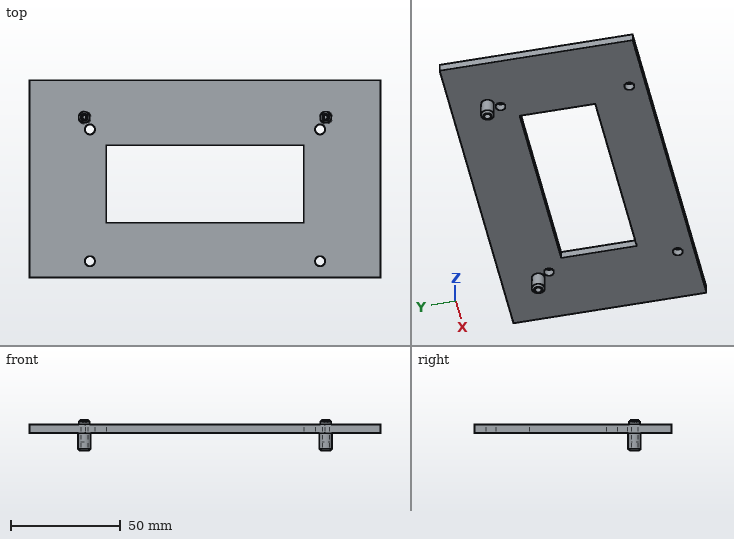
import cadquery as cq

PLATE_LENGTH = 160.0
PLATE_WIDTH = 90.0
PLATE_THICKNESS = 4.0

WINDOW_CENTRE_Y = -2.4
HOLE_PATTERN_CENTRE_Y = -7.5
WINDOW_LENGTH = 90.0
WINDOW_WIDTH = 35.2
HOLE_SPACING_X = 104.8
HOLE_SPACING_Y = 60.0
HOLE_DIAMETER = 4.5

SCREW_SPACING_X = 110.0
SCREW_Y = 28.0
SCREW_POINTS = [(side * SCREW_SPACING_X / 2, SCREW_Y) for side in (-1, 1)]

HEAD_DIAMETER = 5.1
HEAD_HEIGHT = 2.0
HEAD_CHAMFER = 1.0
SHANK_DIAMETER = 3.0
SHANK_LENGTH = 8.0
SOCKET_CORNER_DIAMETER = 2.0
SOCKET_DEPTH = 1.1

STANDOFF_DIAMETER = 6.0
STANDOFF_HEIGHT = 8.0
STANDOFF_CHAMFER = 1.0


def make_plate():
    """Rectangular plate with a window, four round holes and two screw holes."""
    plate = cq.Workplane("XY").box(
        PLATE_LENGTH, PLATE_WIDTH, PLATE_THICKNESS, centered=(True, True, False)
    )
    window = (
        cq.Workplane("XY")
        .center(0, WINDOW_CENTRE_Y)
        .rect(WINDOW_LENGTH, WINDOW_WIDTH)
        .extrude(PLATE_THICKNESS)
    )
    holes = (
        cq.Workplane("XY")
        .center(0, HOLE_PATTERN_CENTRE_Y)
        .rect(HOLE_SPACING_X, HOLE_SPACING_Y, forConstruction=True)
        .vertices()
        .circle(HOLE_DIAMETER / 2)
        .extrude(PLATE_THICKNESS)
    )
    screw_holes = (
        cq.Workplane("XY")
        .pushPoints(SCREW_POINTS)
        .circle(SHANK_DIAMETER / 2)
        .extrude(PLATE_THICKNESS)
    )
    return plate.cut(window).cut(holes).cut(screw_holes)


def make_screw(x, y):
    """Screw with a chamfered head on the plate and a shank down into the standoff."""
    head = (
        cq.Workplane("XY", origin=(x, y, PLATE_THICKNESS))
        .circle(HEAD_DIAMETER / 2)
        .extrude(HEAD_HEIGHT)
        .faces(">Z")
        .chamfer(HEAD_CHAMFER)
    )
    shank = (
        cq.Workplane("XY", origin=(x, y, PLATE_THICKNESS))
        .circle(SHANK_DIAMETER / 2)
        .extrude(-SHANK_LENGTH)
    )
    socket = (
        cq.Workplane("XY", origin=(x, y, PLATE_THICKNESS + HEAD_HEIGHT))
        .polygon(6, SOCKET_CORNER_DIAMETER)
        .extrude(-SOCKET_DEPTH)
    )
    return head.union(shank).cut(socket)


def make_standoff(x, y):
    """Cylinder with a chamfered lower end and a bore right through it."""
    blank = (
        cq.Workplane("XY", origin=(x, y, 0))
        .circle(STANDOFF_DIAMETER / 2)
        .extrude(-STANDOFF_HEIGHT)
        .faces("<Z")
        .chamfer(STANDOFF_CHAMFER)
    )
    bore = (
        cq.Workplane("XY", origin=(x, y, 0))
        .circle(SHANK_DIAMETER / 2)
        .extrude(-STANDOFF_HEIGHT)
    )
    return blank.cut(bore)


plate = make_plate()
screws = [make_screw(x, y) for x, y in SCREW_POINTS]
standoffs = [make_standoff(x, y) for x, y in SCREW_POINTS]

result = cq.Compound.makeCompound([body.val() for body in [plate, *screws, *standoffs]])